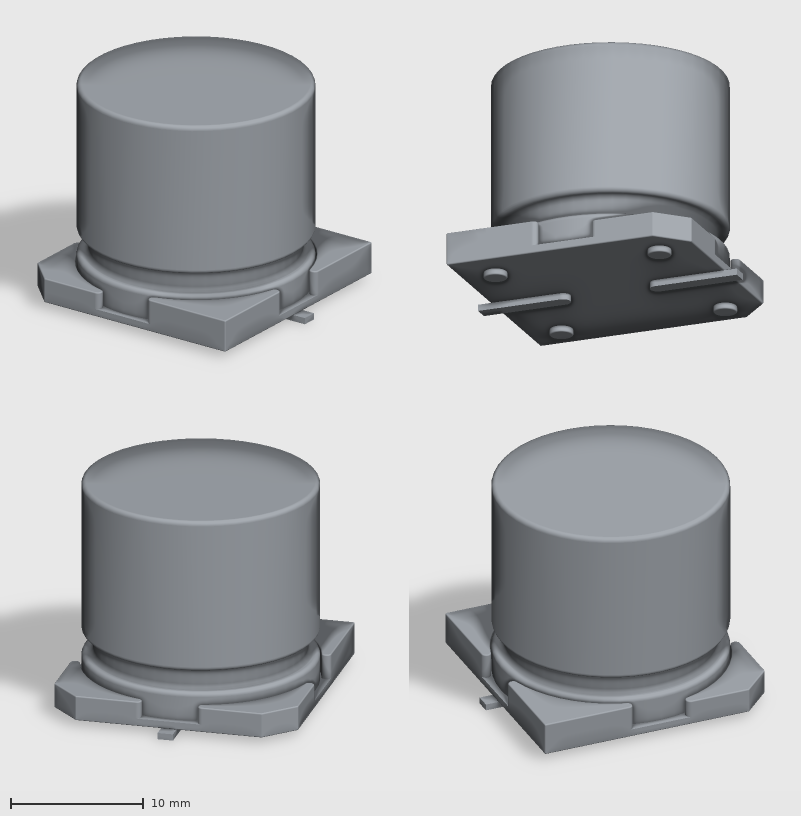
import cadquery as cq
import math

base_side = 19.0
lead_span = 21.0
overall_height = 17.1

standoff = 0.5
floor_height = 1.1
low_pad_height = 2.45
high_pad_height = 3.05
corner_cut = 2.25
slot_half_width = 2.2
pad_inner_radius = 9.1
pad_end_outer_round = 0.38
pad_end_inner_round = 0.35
edge_round = 0.1

can_radius = 18.0 / 2
neck_radius = 16.2 / 2
groove_bottom = 3.35
groove_top = 5.05
can_round = 0.35

lead_width = 1.2
lead_inner_end = 3.25
peg_diameter = 1.8
peg_spacing = 13.3

half_side = base_side / 2
cut_start = half_side - corner_cut


def extrude_outline(bottom, top):
    """Square base outline with both -X corners cut at 45 degrees, between two heights."""
    outline = [
        (half_side, -half_side),
        (half_side, half_side),
        (-cut_start, half_side),
        (-half_side, cut_start),
        (-half_side, -cut_start),
        (-cut_start, -half_side),
    ]
    return cq.Workplane("XY").workplane(offset=bottom).polyline(outline).close().extrude(top - bottom)


def make_plate():
    plate = extrude_outline(standoff, floor_height).edges("|Z").fillet(edge_round)
    return plate.faces("<Z").edges().fillet(edge_round)


def fillet_uprights(body, points, height, radius):
    """Round the vertical edges of the body that stand nearest to the given XY points."""
    edges = []
    for x, y in points:
        nearest = cq.selectors.NearestToPointSelector((x, y, height))
        edges.append(body.edges("|Z").edges(nearest).val())
    return body.newObject(edges).fillet(radius)


def make_pad(x_side, y_side, top_height):
    """Corner pad: one corner of the base outline, clear of the can and of the slots."""
    height = top_height - floor_height
    floor = cq.Workplane("XY").workplane(offset=floor_height)
    corner_size = half_side - slot_half_width
    corner_center = (half_side + slot_half_width) / 2
    corner_block = (
        floor.center(x_side * corner_center, y_side * corner_center)
        .rect(corner_size, corner_size)
        .extrude(height)
    )
    can_bore = floor.circle(pad_inner_radius).extrude(height)
    pad = extrude_outline(floor_height, top_height).intersect(corner_block).cut(can_bore)

    bore_reach = math.sqrt(pad_inner_radius**2 - slot_half_width**2)
    outer_ends = [(slot_half_width, half_side), (half_side, slot_half_width)]
    inner_ends = [(slot_half_width, bore_reach), (bore_reach, slot_half_width)]
    if x_side > 0:
        corners = [(half_side, half_side)]
    else:
        corners = [(cut_start, half_side), (half_side, cut_start)]

    middle_height = (floor_height + top_height) / 2
    for points, radius in (
        (outer_ends, pad_end_outer_round),
        (inner_ends, pad_end_inner_round),
        (corners, edge_round),
    ):
        placed = [(x_side * x, y_side * y) for x, y in points]
        pad = fillet_uprights(pad, placed, middle_height, radius)
    return pad.faces(">Z").edges().fillet(edge_round)


def make_can():
    """Closed can, rounded at the top rim and along both lips of the crimp groove."""
    can_height = overall_height - floor_height
    can = cq.Workplane("XY").workplane(offset=floor_height).circle(can_radius).extrude(can_height)
    groove = (
        cq.Workplane("XY")
        .workplane(offset=groove_bottom)
        .circle(can_radius)
        .circle(neck_radius)
        .extrude(groove_top - groove_bottom)
    )
    can = can.cut(groove)
    return can.edges("%CIRCLE").edges("not <Z").fillet(can_round)


def make_lead(side):
    """Flat lead running out along X, with a full-round inner end under the base."""
    end_radius = lead_width / 2
    round_center = lead_inner_end + end_radius
    length = lead_span / 2 - round_center
    mounting_plane = cq.Workplane("XY")
    strip = (
        mounting_plane.center(side * (round_center + length / 2), 0)
        .rect(length, lead_width)
        .extrude(standoff)
    )
    inner_end = mounting_plane.center(side * round_center, 0).circle(end_radius).extrude(standoff)
    return strip.union(inner_end)


def make_pegs():
    """Four round support pegs under the corners of the base."""
    pegs = (
        cq.Workplane("XY")
        .rarray(peg_spacing, peg_spacing, 2, 2)
        .circle(peg_diameter / 2)
        .extrude(standoff)
    )
    return pegs.edges("%CIRCLE").fillet(edge_round)


result = make_plate().union(make_can()).union(make_pegs())
for side in (-1, 1):
    result = result.union(make_pad(-1, side, low_pad_height))
    result = result.union(make_pad(1, side, high_pad_height))
    result = result.union(make_lead(side))